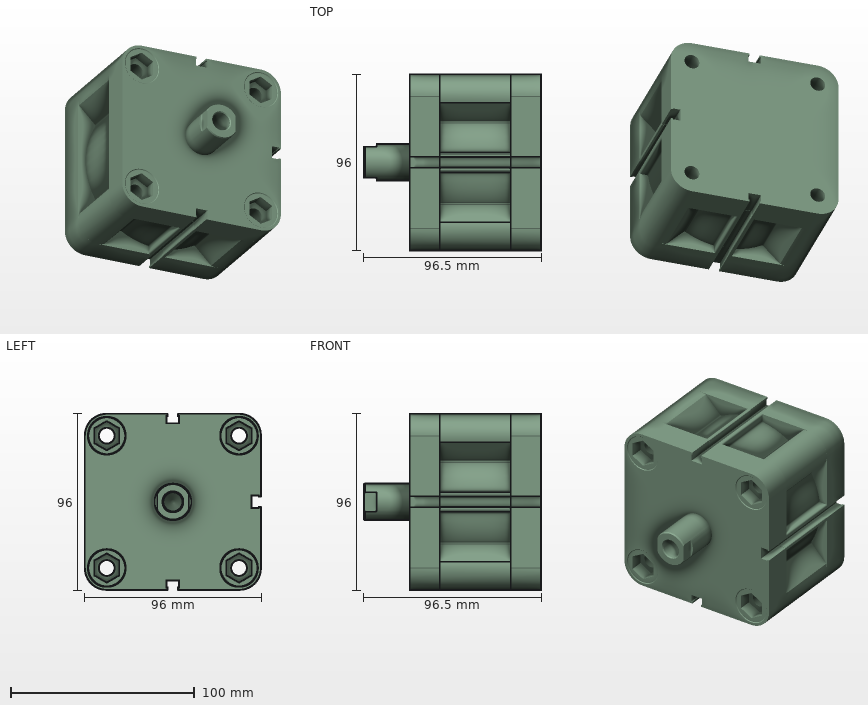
import cadquery as cq
import math


side = 96.0
half_side = side / 2
corner_radius = 12.0
cap_length = 16.5
barrel_length = 38.5
barrel_start = cap_length
rear_cap_start = barrel_start + barrel_length
corner_offset = half_side - corner_radius
corner_signs = (-1, 1)
corner_points = [(y * corner_offset, z * corner_offset) for y in corner_signs for z in corner_signs]

bolt_hole_diameter = 8.5
hex_across_flats = 13.8
hex_depth = 8.0
recess_mouth_diameter = 20.7
recess_floor_diameter = 20.0
recess_depth = 0.4

core_radius = 43.5
web_width = 21.2
post_angles = (45, 135, 225, 315)
web_fillet = 1.0
rail_half_width = 5.25
rail_fillet = 0.9

slot_mouth_width = 5.5
slot_mouth_chamfer = 0.2
slot_inner_width = 6.6
slot_lip = 1.4
slot_depth = 5.1
cap_slot_clearance = 0.2
slot_angles = (0, 90, 180)

rod_diameter = 20.0
rod_projection = 25.0
rod_chamfer_length = 0.8
rod_chamfer_height = 0.4
wrench_width = 17.0
wrench_length = 7.0
wrench_fillet = 0.4
bore_diameter = 10.4
bore_mouth_diameter = 11.5
bore_depth = 20.0
drill_point_angle = 118.0


def section(x):
    """Workplane at X = x whose local axes are Y and Z, extruding towards +X."""
    return cq.Workplane("YZ", origin=(x, 0, 0))


def turned(shape, angle):
    """Turn a shape about the cylinder axis; 90 degrees takes the +Z side to the -Y side."""
    return shape.rotate((0, 0, 0), (1, 0, 0), angle)


def t_slots(x, length, clearance, mouth_chamfer):
    """Three T-slots along X, on the +Z, -Y and -Z sides."""
    mouth = slot_mouth_width / 2 + clearance
    inner = slot_inner_width / 2 + clearance
    lip_z = half_side - slot_lip + clearance
    floor_z = half_side - slot_depth - clearance
    slot = (
        section(x)
        .moveTo(0, half_side)
        .lineTo(mouth, half_side)
        .lineTo(mouth, lip_z)
        .lineTo(inner, lip_z)
        .lineTo(inner, floor_z)
        .lineTo(0, floor_z)
        .mirrorY()
        .extrude(length)
    )
    if mouth_chamfer:
        bevel = (
            section(x)
            .moveTo(0, half_side)
            .lineTo(mouth + mouth_chamfer, half_side)
            .lineTo(mouth, half_side - mouth_chamfer)
            .lineTo(0, half_side - mouth_chamfer)
            .mirrorY()
            .extrude(length)
        )
        slot = slot.union(bevel)
    slots = cq.Workplane()
    for angle in slot_angles:
        slots.add(turned(slot, angle))
    return slots.combine()


def at_corners(shape):
    """Copies of a shape built on the cylinder axis, one at each tie-bolt position."""
    copies = cq.Workplane()
    for y, z in corner_points:
        copies.add(shape.translate((0, y, z)))
    return copies.combine()


def bolt_holes(x, length):
    """Through holes for the four tie bolts."""
    return section(x).pushPoints(corner_points).circle(bolt_hole_diameter / 2).extrude(length)


def cap_block(x):
    """Rounded square plate with tie-bolt holes and T-slots."""
    block = section(x).rect(side, side).extrude(cap_length).edges("|X").fillet(corner_radius)
    return block.cut(bolt_holes(x, cap_length)).cut(t_slots(x, cap_length, cap_slot_clearance, 0))


def make_front_cap():
    """Cap with the rod hole, hexagon sockets at the tie bolts each in a shallow tapered recess."""
    hex_across_corners = hex_across_flats / math.cos(math.pi / 6)
    socket = turned(section(0).polygon(6, hex_across_corners).extrude(hex_depth), 90)
    recess = cq.Workplane(
        cq.Solid.makeCone(
            recess_mouth_diameter / 2, recess_floor_diameter / 2, recess_depth, dir=cq.Vector(1, 0, 0)
        )
    )
    rod_hole = section(0).circle(rod_diameter / 2).extrude(cap_length)
    return cap_block(0).cut(at_corners(socket)).cut(at_corners(recess)).cut(rod_hole)


def make_barrel():
    """Round core with four corner posts on diagonal webs and three slotted rails."""
    post_distance = corner_offset * math.sqrt(2)
    post_shoulder = post_distance + math.sqrt(corner_radius**2 - (web_width / 2) ** 2)
    body = section(barrel_start).circle(core_radius).extrude(barrel_length)
    for angle in post_angles:
        post = (
            section(barrel_start)
            .moveTo(-web_width / 2, 0)
            .lineTo(-web_width / 2, post_shoulder)
            .threePointArc((0, post_distance + corner_radius), (web_width / 2, post_shoulder))
            .lineTo(web_width / 2, 0)
            .close()
            .extrude(barrel_length)
        )
        body = body.union(turned(post, angle))
    core_edges = cq.selectors.BoxSelector(
        (0, -core_radius, -core_radius), (rear_cap_start, core_radius, core_radius)
    )
    body = body.edges("|X").edges(core_edges).fillet(web_fillet)

    rail_start = core_radius - 2 * rail_fillet
    for angle in slot_angles:
        rail = (
            section(barrel_start)
            .center(0, (half_side + rail_start) / 2)
            .rect(2 * rail_half_width, half_side - rail_start)
            .extrude(barrel_length)
            .edges("|X and >Z")
            .fillet(rail_fillet)
        )
        body = body.union(turned(rail, angle))
    barrel_middle = barrel_start + barrel_length / 2
    foot_z = math.sqrt(core_radius**2 - rail_half_width**2)
    for angle in slot_angles:
        for foot_y in (-rail_half_width, rail_half_width):
            foot_point = turned(cq.Workplane(cq.Vertex.makeVertex(barrel_middle, foot_y, foot_z)), angle)
            foot_edge = cq.selectors.NearestToPointSelector(foot_point.val().toTuple())
            body = body.edges(foot_edge).fillet(rail_fillet)

    slots = t_slots(barrel_start, barrel_length, 0, slot_mouth_chamfer)
    return body.cut(bolt_holes(barrel_start, barrel_length)).cut(slots)


def make_rod():
    """Rod with a chamfered tip, two wrench flats and a drilled bore; it ends at the barrel."""
    tip = -rod_projection
    radius = rod_diameter / 2
    bore = bore_diameter / 2
    bore_mouth = bore_mouth_diameter / 2
    cone_length = bore / math.tan(math.radians(drill_point_angle / 2))
    rod = (
        cq.Workplane("XZ")
        .moveTo(tip, bore_mouth)
        .lineTo(tip, radius - rod_chamfer_height)
        .lineTo(tip + rod_chamfer_length, radius)
        .lineTo(barrel_start, radius)
        .lineTo(barrel_start, 0)
        .lineTo(tip + bore_depth + cone_length, 0)
        .lineTo(tip + bore_depth, bore)
        .lineTo(tip + bore_mouth - bore, bore)
        .close()
        .revolve(360, (0, 0, 0), (1, 0, 0))
    )
    flat_cut = (
        section(tip)
        .center(-wrench_width / 2 - radius / 2, 0)
        .rect(radius, rod_diameter)
        .extrude(wrench_length)
        .edges(">X and >Y")
        .fillet(wrench_fillet)
    )
    return rod.cut(flat_cut).cut(turned(flat_cut, 180))


front_cap = make_front_cap()
barrel = make_barrel()
rear_cap = cap_block(rear_cap_start)
rod = make_rod()

result = cq.Compound.makeCompound([front_cap.val(), barrel.val(), rear_cap.val(), rod.val()])